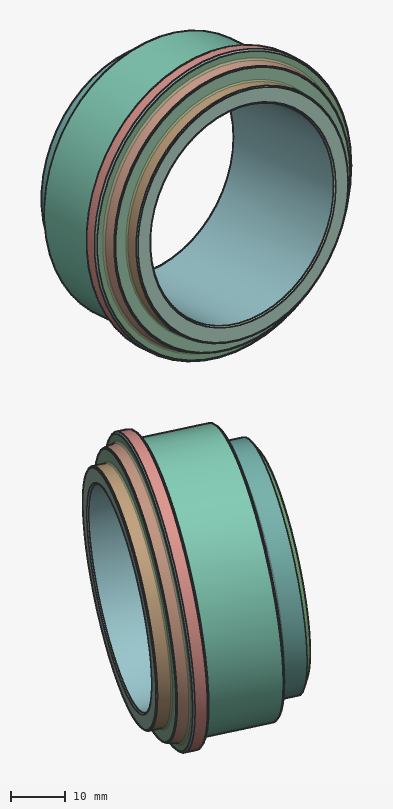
import cadquery as cq

TOTAL_LENGTH = 30.0
BODY_START = 6.5
FLANGE_START = 21.4
FLANGE_END = 24.5
TAPER_END = 27.0

BORE_RADIUS = 42.7 / 2
NOSE_RADIUS = 48.3 / 2
BODY_RADIUS = 56.0 / 2
FLANGE_RADIUS = 60.0 / 2
TAPER_START_RADIUS = 28.1
TAPER_END_RADIUS = 27.55
COLLAR_RADIUS = 49.5 / 2

NOSE_CHAMFER_LENGTH = 1.2
NOSE_CHAMFER_DEPTH = 2.05
BODY_CHAMFER = 0.35
FLANGE_CHAMFER = 0.35
TAPER_CHAMFER = 0.2
COLLAR_CHAMFER = 0.25
BORE_CHAMFER = 0.3
NOSE_FILLET = 0.9
FLANGE_FILLET = 0.35
TAPER_FILLET = 0.4
COLLAR_FILLET = 0.3


def edge_at(x, radius):
    """Select the circular edge at an axial position and radius."""
    tolerance = 0.005
    reach = radius + tolerance
    within_radius = cq.selectors.BoxSelector(
        (x - tolerance, -reach, -reach), (x + tolerance, reach, reach), boundingbox=True
    )
    return within_radius - cq.selectors.BoxSelector(
        (x - tolerance, -radius + tolerance, -radius + tolerance),
        (x + tolerance, radius - tolerance, radius - tolerance),
        boundingbox=True,
    )


sleeve = (
    cq.Workplane("XY")
    .moveTo(0, BORE_RADIUS)
    .lineTo(0, NOSE_RADIUS - NOSE_CHAMFER_DEPTH)
    .lineTo(NOSE_CHAMFER_LENGTH, NOSE_RADIUS)
    .lineTo(BODY_START, NOSE_RADIUS)
    .lineTo(BODY_START, BODY_RADIUS)
    .lineTo(FLANGE_START, BODY_RADIUS)
    .lineTo(FLANGE_START, FLANGE_RADIUS)
    .lineTo(FLANGE_END, FLANGE_RADIUS)
    .lineTo(FLANGE_END, TAPER_START_RADIUS)
    .lineTo(TAPER_END, TAPER_END_RADIUS)
    .lineTo(TAPER_END, COLLAR_RADIUS)
    .lineTo(TOTAL_LENGTH, COLLAR_RADIUS)
    .lineTo(TOTAL_LENGTH, BORE_RADIUS)
    .close()
    .revolve(360, (0, 0, 0), (1, 0, 0))
)

for x, radius, fillet in (
    (BODY_START, NOSE_RADIUS, NOSE_FILLET),
    (FLANGE_START, BODY_RADIUS, FLANGE_FILLET),
    (FLANGE_END, TAPER_START_RADIUS, TAPER_FILLET),
    (TAPER_END, COLLAR_RADIUS, COLLAR_FILLET),
):
    sleeve = sleeve.edges(edge_at(x, radius)).fillet(fillet)

for x, radius, chamfer in (
    (BODY_START, BODY_RADIUS, BODY_CHAMFER),
    (FLANGE_START, FLANGE_RADIUS, FLANGE_CHAMFER),
    (FLANGE_END, FLANGE_RADIUS, FLANGE_CHAMFER),
    (TAPER_END, TAPER_END_RADIUS, TAPER_CHAMFER),
    (TOTAL_LENGTH, COLLAR_RADIUS, COLLAR_CHAMFER),
    (0, BORE_RADIUS, BORE_CHAMFER),
    (TOTAL_LENGTH, BORE_RADIUS, BORE_CHAMFER),
):
    sleeve = sleeve.edges(edge_at(x, radius)).chamfer(chamfer)

result = sleeve.translate((-TOTAL_LENGTH / 2, 0, 0))